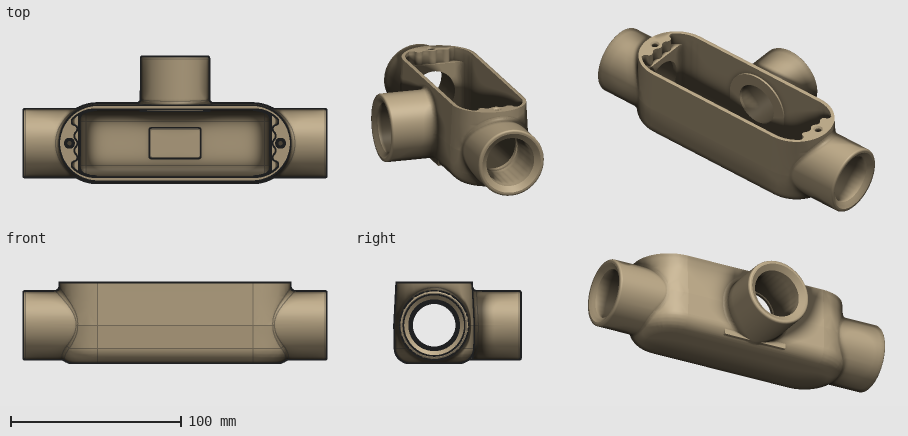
import cadquery as cq
import math


LENGTH = 178.23
DEPTH = 74.57
HEIGHT = 47.62

SHELL_RADIUS = 23.6
END_CENTRE_X = 45.6
TOP_Z = 25.22
BOTTOM_Z = TOP_Z - HEIGHT
UPPER_DRAFT = 3.0
LOWER_DRAFT = 1.2
BOTTOM_ROUND = 9.2

CAVITY_RADIUS = 20.0
CAVITY_CENTRE_X = 46.2
CAVITY_DRAFT = 1.0
FLOOR_Z = BOTTOM_Z + 2.4
END_WALL_TOP_X = 56.6
END_WALL_DRAFT = 1.4
END_WALL_ROUND = 3.2
SIDE_FLOOR_ROUND = 6.4

HUB_RADIUS = 40.49 / 2
HUB_LIP_ROUND = 1.3
HUB_ROOT_ROUND = 2.2
END_HUB_REACH = LENGTH / 2
SIDE_HUB_REACH = DEPTH - SHELL_RADIUS
THROAT_RADIUS = 25.96 / 2
MOUTH_RADIUS = 18.05
MOUTH_DEPTH = 2.5
THREAD_RADIUS = 14.7
THREAD_END_RADIUS = 13.9
THREAD_DEPTH = 30.5

LAND_THICKNESS = 8.0
LAND_CREST_X = 57.3
SMALL_NOTCH_X = 59.05
SMALL_NOTCH_Y = 4.3
OUTER_CREST_Y = 2 * SMALL_NOTCH_Y
LARGE_NOTCH_X = 60.6
LARGE_NOTCH_Y = 12.5
SCREW_X = 61.9
SCREW_RADIUS = 1.8
SCREW_MOUTH_RADIUS = 2.7
SCREW_DEPTH = 8.0

SEAT_RADIUS = 20.3
SEAT_FACE_Y = 18.7

PLATE_LENGTH = 30.4
PLATE_WIDTH = 18.0
PLATE_HEIGHT = 1.2
PLATE_DRAFT = 20.0
PLATE_CORNER_ROUND = 1.5
PLATE_EDGE_ROUND = 0.5


def stadium(centre_x, radius, z, height, draft):
    """Solid with a stadium outline, drawn in by the draft angle away from plane z."""
    outline = cq.Workplane("XY", origin=(0, 0, z)).slot2D(2 * (centre_x + radius), 2 * radius)
    return outline.extrude(height, taper=draft)


def make_shell():
    upper = stadium(END_CENTRE_X, SHELL_RADIUS, 0, TOP_Z, UPPER_DRAFT)
    lower = stadium(END_CENTRE_X, SHELL_RADIUS, 0, BOTTOM_Z, LOWER_DRAFT)
    lower = lower.faces("<Z").edges().fillet(BOTTOM_ROUND)
    return upper.union(lower)


def make_hub(reach):
    """Solid hub along +Z from the origin, rounded at its outer lip."""
    hub = cq.Workplane("XY").circle(HUB_RADIUS).extrude(reach)
    return hub.faces(">Z").edges().fillet(HUB_LIP_ROUND)


def make_bore(reach):
    """Bore of a hub along +Z: throat, tapered thread bore and countersunk mouth."""
    profile = [
        (0, 0),
        (THROAT_RADIUS, 0),
        (THROAT_RADIUS, reach - THREAD_DEPTH),
        (THREAD_END_RADIUS, reach - THREAD_DEPTH),
        (THREAD_RADIUS, reach - MOUTH_DEPTH),
        (MOUTH_RADIUS, reach),
        (0, reach),
    ]
    return cq.Workplane("XZ").polyline(profile).close().revolve(360, (0, 0, 0), (0, 1, 0))


def at_every_hub(make):
    """The shapes made for the +X, -X and +Y hubs, turned to their axes."""
    right = make(END_HUB_REACH).rotate((0, 0, 0), (0, 1, 0), 90)
    side = make(SIDE_HUB_REACH).rotate((0, 0, 0), (1, 0, 0), -90)
    return [right, right.mirror("YZ"), side]


def hub_root_edges(solid):
    """Edges where the hubs run into the shell."""

    def on_hub(edge):
        points = edge.positions([0.1, 0.4, 0.6, 0.9])
        on_end_hub = all(abs(math.hypot(p.y, p.z) - HUB_RADIUS) < 0.01 for p in points)
        on_side_hub = all(abs(math.hypot(p.x, p.z) - HUB_RADIUS) < 0.01 for p in points)
        centre = edge.Center()
        is_inboard = abs(centre.x) < END_HUB_REACH - 5 and centre.y < SIDE_HUB_REACH - 5
        return (on_end_hub or on_side_hub) and is_inboard and edge.geomType() != "LINE"

    return [edge for edge in solid.edges().vals() if on_hub(edge)]


def drafted_block(half_x, half_y, draft):
    """Block from the cover plane to the cavity floor, drawn in by the draft angle towards the floor."""
    outline = cq.Workplane("XY", origin=(0, 0, TOP_Z)).rect(2 * half_x, 2 * half_y)
    return outline.extrude(FLOOR_Z - TOP_Z, taper=draft)


def make_cavity():
    """Part of the cavity below the lands, closed at each end by a drafted flat wall."""
    beyond = 2 * END_HUB_REACH
    core = stadium(CAVITY_CENTRE_X, CAVITY_RADIUS, TOP_Z, FLOOR_Z - TOP_Z, CAVITY_DRAFT)
    end_walls = drafted_block(END_WALL_TOP_X, beyond, END_WALL_DRAFT)
    core = core.intersect(end_walls)
    side_trough = drafted_block(beyond, CAVITY_RADIUS, CAVITY_DRAFT)
    side_trough = side_trough.faces("<Z").edges("|X").fillet(SIDE_FLOOR_ROUND)
    core = core.intersect(side_trough)
    end_wall_outline = [edge for edge in core.faces("<X or >X").edges().vals() if edge.Center().z < TOP_Z - 1]
    core = core.newObject(end_wall_outline).fillet(END_WALL_ROUND)
    land_zone = cq.Workplane("XY", origin=(0, 0, TOP_Z)).rect(LENGTH, DEPTH).extrude(-LAND_THICKNESS)
    return core.cut(land_zone)


def make_land_recess():
    """Part of the cavity level with the lands, bounded at each end by a wavy edge."""
    nodes = [
        (LAND_CREST_X, 0),
        (SMALL_NOTCH_X, SMALL_NOTCH_Y),
        (LAND_CREST_X, OUTER_CREST_Y),
        (LARGE_NOTCH_X, LARGE_NOTCH_Y),
    ]
    outline = cq.Workplane("XY", origin=(0, 0, TOP_Z)).moveTo(0, 0).lineTo(*nodes[0])
    for (x0, y0), (x1, y1) in zip(nodes, nodes[1:]):
        middle = ((x0 + x1) / 2, (y0 + y1) / 2)
        outline = outline.threePointArc(wave_bulge((x0, y0), middle), middle)
        outline = outline.threePointArc(wave_bulge((x1, y1), middle), (x1, y1))
    quarter = outline.lineTo(LARGE_NOTCH_X, CAVITY_RADIUS).lineTo(0, CAVITY_RADIUS).close()
    quarter = quarter.extrude(-LAND_THICKNESS)
    half = quarter.union(quarter.mirror("XZ"))
    both = half.union(half.mirror("YZ"))
    return both.intersect(stadium(CAVITY_CENTRE_X, CAVITY_RADIUS, TOP_Z, -LAND_THICKNESS, CAVITY_DRAFT))


def wave_bulge(tip, end):
    """Middle point of the arc that leaves a wave tip along Y and stops at end."""
    dx = end[0] - tip[0]
    dy = end[1] - tip[1]
    radius = (dx * dx + dy * dy) / (2 * abs(dx))
    half_angle = math.atan2(abs(dx), abs(dy))
    bulge_x = tip[0] + math.copysign(radius * (1 - math.cos(half_angle)), dx)
    bulge_y = tip[1] + math.copysign(radius * math.sin(half_angle), dy)
    return bulge_x, bulge_y


def make_screw_hole():
    """Countersunk blind screw hole in the +X land."""
    countersink_depth = SCREW_MOUTH_RADIUS - SCREW_RADIUS
    profile = [
        (0, 0),
        (SCREW_MOUTH_RADIUS, 0),
        (SCREW_RADIUS, -countersink_depth),
        (SCREW_RADIUS, -SCREW_DEPTH),
        (0, -SCREW_DEPTH),
    ]
    hole = cq.Workplane("XZ").polyline(profile).close().revolve(360, (0, 0, 0), (0, 1, 0))
    return hole.translate((SCREW_X, 0, TOP_Z))


def make_seat():
    """Arched flat seat standing off the +Y cavity wall, straight-sided down to the floor."""
    thickness = SHELL_RADIUS - 1 - SEAT_FACE_Y
    workplane = cq.Workplane("XZ", origin=(0, SEAT_FACE_Y, 0))
    return (
        workplane.moveTo(-SEAT_RADIUS, 0)
        .threePointArc((0, SEAT_RADIUS), (SEAT_RADIUS, 0))
        .lineTo(SEAT_RADIUS, FLOOR_Z)
        .lineTo(-SEAT_RADIUS, FLOOR_Z)
        .close()
        .extrude(-thickness)
    )


def make_plate():
    """Drafted plate with rounded corners and a rounded top edge."""
    outline = cq.Sketch().rect(PLATE_LENGTH, PLATE_WIDTH).vertices().fillet(PLATE_CORNER_ROUND)
    floor = cq.Workplane("XY", origin=(0, 0, FLOOR_Z))
    plate = floor.placeSketch(outline).extrude(PLATE_HEIGHT, taper=PLATE_DRAFT)
    return plate.faces(">Z").edges().fillet(PLATE_EDGE_ROUND)


body = make_shell()
for hub in at_every_hub(make_hub):
    body = body.union(hub)
body = body.newObject(hub_root_edges(body)).fillet(HUB_ROOT_ROUND)

body = body.cut(make_cavity().union(make_land_recess()))
body = body.union(make_seat()).union(make_plate())
for bore in at_every_hub(make_bore):
    body = body.cut(bore)
screw_hole = make_screw_hole()
result = body.cut(screw_hole).cut(screw_hole.mirror("YZ"))